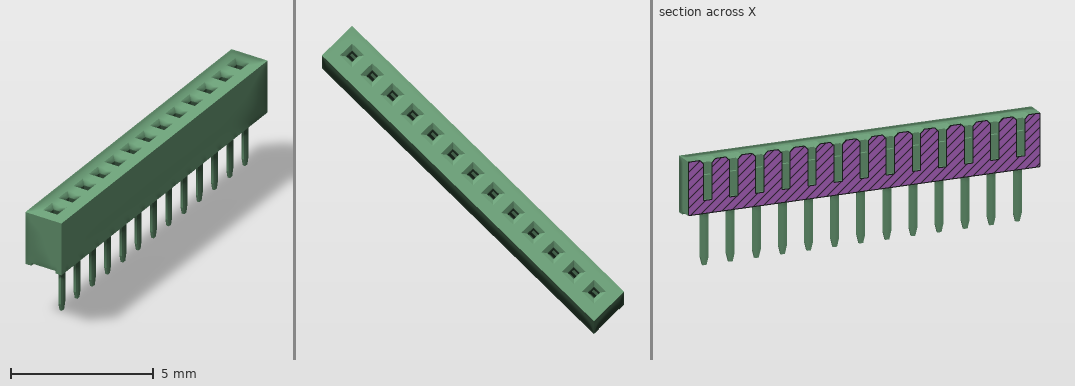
import cadquery as cq

PIN_COUNT = 13
PITCH = 1.0
END_MARGIN = 0.75
BODY_WIDTH = 1.5
BODY_LENGTH = (PIN_COUNT - 1) * PITCH + 2 * END_MARGIN
BODY_HEIGHT = 2.1

FOOT_WIDTH = 0.25
CHANNEL_DEPTH = 0.1
CHANNEL_WIDTH = BODY_WIDTH - 2 * FOOT_WIDTH

CONTACT_THICKNESS = 0.1

MOUTH_SIZE = 0.6
MOUTH_DEPTH = 0.15
WELL_SIZE = 0.3
PRONG_TOP_DEPTH = 0.6
PRONG_GAP = WELL_SIZE - 2 * CONTACT_THICKNESS
SOCKET_DEPTH = 1.5

PIN_OFFSET_X = 0.29
PIN_WIDTH = 0.3
PIN_TIP_WIDTH = 0.15
PIN_TAPER_LENGTH = 0.3
PIN_LENGTH = 1.9
PIN_EMBED = 0.2

contact_positions = [(i - (PIN_COUNT - 1) / 2) * PITCH for i in range(PIN_COUNT)]


def make_housing():
    """Bar with a full-length channel in its underside."""
    body = cq.Workplane("XY").box(BODY_WIDTH, BODY_LENGTH, BODY_HEIGHT, centered=(True, True, False))
    channel = cq.Workplane("XY").box(CHANNEL_WIDTH, BODY_LENGTH, CHANNEL_DEPTH, centered=(True, True, False))
    return body.cut(channel)


def make_socket(y):
    """Cutter for one socket: tapered mouth, straight well and the gap between two prongs."""
    mouth = (
        cq.Workplane("XY", origin=(0, y, BODY_HEIGHT))
        .rect(MOUTH_SIZE, MOUTH_SIZE)
        .workplane(offset=-MOUTH_DEPTH)
        .rect(WELL_SIZE, WELL_SIZE)
        .loft(ruled=True)
    )
    well = (
        cq.Workplane("XY", origin=(0, y, BODY_HEIGHT - MOUTH_DEPTH))
        .rect(WELL_SIZE, WELL_SIZE)
        .extrude(MOUTH_DEPTH - PRONG_TOP_DEPTH)
    )
    gap = (
        cq.Workplane("XY", origin=(0, y, BODY_HEIGHT - PRONG_TOP_DEPTH))
        .rect(PRONG_GAP, WELL_SIZE)
        .extrude(PRONG_TOP_DEPTH - SOCKET_DEPTH)
    )
    return mouth.union(well).union(gap)


def make_pin(y):
    """Flat pin, narrowed in Y toward its tip."""
    half_width = PIN_WIDTH / 2
    half_tip = PIN_TIP_WIDTH / 2
    taper_top_z = PIN_TAPER_LENGTH - PIN_LENGTH
    return (
        cq.Workplane("YZ", origin=(PIN_OFFSET_X, y, 0))
        .moveTo(-half_width, PIN_EMBED)
        .lineTo(-half_width, taper_top_z)
        .lineTo(-half_tip, -PIN_LENGTH)
        .lineTo(half_tip, -PIN_LENGTH)
        .lineTo(half_width, taper_top_z)
        .lineTo(half_width, PIN_EMBED)
        .close()
        .extrude(CONTACT_THICKNESS / 2, both=True)
    )


result = make_housing()
for contact_y in contact_positions:
    result = result.cut(make_socket(contact_y))
    result = result.union(make_pin(contact_y))